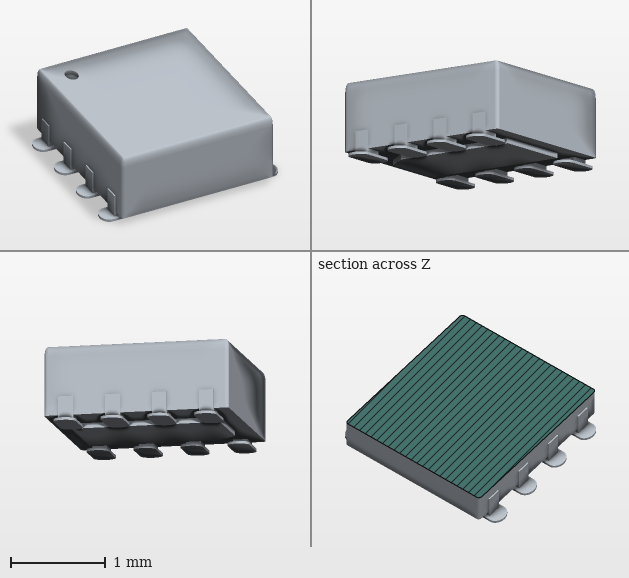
import cadquery as cq

BODY_LENGTH = 2.0
BODY_WIDTH = 1.8
BODY_BOTTOM = 0.083
BODY_TOP = 0.83
BODY_HEIGHT = BODY_TOP - BODY_BOTTOM

ROUND_X = 0.042
ROUND_Y = 0.032
ROUND_Z = 0.098

DIMPLE_X = -0.707
DIMPLE_Y = -0.627
DIMPLE_RADIUS_X = 0.094
DIMPLE_RADIUS_Y = 0.07
DIMPLE_DEPTH = 0.05

LEADS_PER_SIDE = 4
LEAD_PITCH = 0.508
LEAD_WIDTH = 0.16
LEAD_INNER_Y = 0.717
LEAD_OUTER_Y = 0.914
LEAD_TOP = 0.285

PAD_WIDTH = 0.24
PAD_INNER_Y = 0.535
PAD_OUTER_Y = 1.05
PAD_END_RADIUS_Y = 0.094
PAD_THICKNESS = 0.028

SLUG_LENGTH = 1.61
SLUG_WIDTH = 0.906
SLUG_CUT_X = 0.225
SLUG_CUT_Y = 0.17


def make_body():
    """Box with unit-radius rounds, stretched per axis into elliptical rounds."""
    rounded = (
        cq.Workplane("XY")
        .box(
            BODY_LENGTH / ROUND_X,
            BODY_WIDTH / ROUND_Y,
            BODY_HEIGHT / ROUND_Z,
            centered=(True, True, False),
        )
        .edges("|Z or >Z")
        .fillet(1.0)
    )
    stretch = cq.Matrix(
        [
            [ROUND_X, 0, 0, 0],
            [0, ROUND_Y, 0, 0],
            [0, 0, ROUND_Z, BODY_BOTTOM],
        ]
    )
    return cq.Workplane(rounded.val().transformGeometry(stretch))


def make_dimple():
    return (
        cq.Workplane("XY", origin=(DIMPLE_X, DIMPLE_Y, BODY_TOP))
        .ellipse(DIMPLE_RADIUS_X, DIMPLE_RADIUS_Y)
        .extrude(-DIMPLE_DEPTH)
    )


def make_slug():
    half_length = SLUG_LENGTH / 2
    half_width = SLUG_WIDTH / 2
    outline = [
        (-half_length + SLUG_CUT_X, -half_width),
        (half_length, -half_width),
        (half_length, half_width),
        (-half_length, half_width),
        (-half_length, -half_width + SLUG_CUT_Y),
    ]
    return (
        cq.Workplane("XY", origin=(0, 0, PAD_THICKNESS))
        .polyline(outline)
        .close()
        .extrude(BODY_BOTTOM - PAD_THICKNESS)
    )


def make_terminal():
    """Lead post and foot pad of one +Y terminal, centered on X = 0."""
    post = (
        cq.Workplane("XY", origin=(0, (LEAD_INNER_Y + LEAD_OUTER_Y) / 2, PAD_THICKNESS))
        .rect(LEAD_WIDTH, LEAD_OUTER_Y - LEAD_INNER_Y)
        .extrude(LEAD_TOP - PAD_THICKNESS)
    )
    straight_inner_y = PAD_INNER_Y + PAD_END_RADIUS_Y
    straight_outer_y = PAD_OUTER_Y - PAD_END_RADIUS_Y
    pad = (
        cq.Workplane("XY", origin=(0, (straight_inner_y + straight_outer_y) / 2, 0))
        .rect(PAD_WIDTH, straight_outer_y - straight_inner_y)
        .extrude(PAD_THICKNESS)
    )
    for end_y in (straight_inner_y, straight_outer_y):
        rounded_end = (
            cq.Workplane("XY", origin=(0, end_y, 0))
            .ellipse(PAD_WIDTH / 2, PAD_END_RADIUS_Y)
            .extrude(PAD_THICKNESS)
        )
        pad = pad.union(rounded_end)
    return post.union(pad)


result = make_body().cut(make_dimple()).union(make_slug())

back_terminal = make_terminal()
front_terminal = back_terminal.mirror("XZ")
for index in range(LEADS_PER_SIDE):
    lead_x = (index - (LEADS_PER_SIDE - 1) / 2) * LEAD_PITCH
    for terminal in (back_terminal, front_terminal):
        result = result.union(terminal.translate((lead_x, 0, 0)))